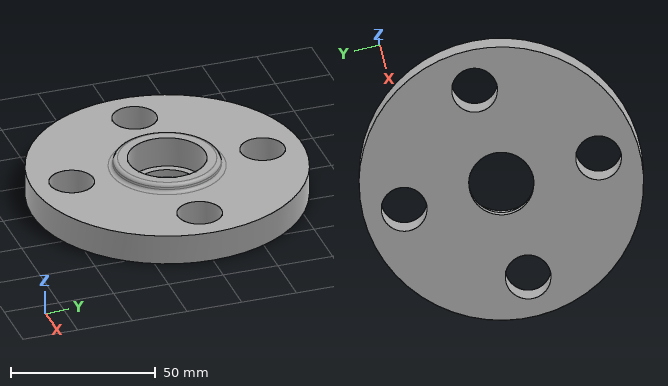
import cadquery as cq
import math

flange_diameter = 98.5
overall_height = 14.2
hub_height = 3.1
flange_thickness = overall_height - hub_height

hub_base_radius = 19.2
hub_taper_angle = 15.0
hub_fillet_radius = 1.6
hub_top_radius = hub_base_radius - hub_height * math.tan(math.radians(hub_taper_angle))

bore_diameter = 22.5
socket_diameter = 27.6
socket_floor_height = 3.0
socket_depth = overall_height - socket_floor_height

bolt_hole_count = 4
bolt_hole_diameter = 15.8
bolt_circle_radius = 34.9


def make_flange_with_hub():
    """Solid of revolution about Z: flange disc with the sharp-edged tapered hub on top."""
    flange_radius = flange_diameter / 2
    return (
        cq.Workplane("XZ")
        .moveTo(0, 0)
        .lineTo(flange_radius, 0)
        .lineTo(flange_radius, flange_thickness)
        .lineTo(hub_base_radius, flange_thickness)
        .lineTo(hub_top_radius, overall_height)
        .lineTo(0, overall_height)
        .close()
        .revolve(360, (0, 0, 0), (0, 1, 0))
    )


def round_hub(body):
    """Round the hub's top rim and its concave root with one radius."""
    hub_edge_radii = {round(hub_top_radius, 3), round(hub_base_radius, 3)}
    edges = [
        edge
        for edge in body.edges("%CIRCLE").vals()
        if round(edge.radius(), 3) in hub_edge_radii
    ]
    return body.newObject(edges).fillet(hub_fillet_radius)


def cut_stepped_bore(body):
    """Cut the through bore and the socket above it from the hub face."""
    return body.faces(">Z").workplane().cboreHole(bore_diameter, socket_diameter, socket_depth)


def cut_bolt_holes(body):
    """Cut the bolt holes, evenly spaced on the bolt circle starting on the X axis."""
    holes = (
        cq.Workplane("XY")
        .polarArray(bolt_circle_radius, 0, 360, bolt_hole_count)
        .circle(bolt_hole_diameter / 2)
        .extrude(flange_thickness)
    )
    return body.cut(holes)


result = cut_bolt_holes(cut_stepped_bore(round_hub(make_flange_with_hub())))